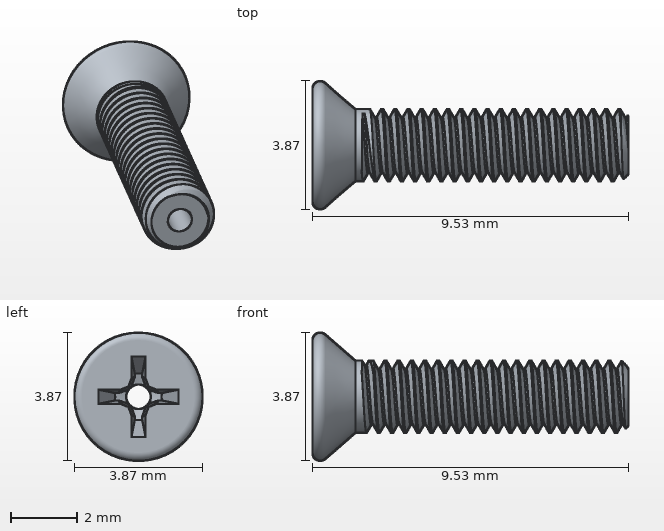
import cadquery as cq
import math

INCH = 25.4

screw_length = 3 / 8 * INCH
vent_radius = 0.366

head_radius = 1.935
rim_radius = 0.235
head_half_angle = math.radians(41)

major_radius = 0.086 * INCH / 2
pitch = INCH / 64
flank_half_angle = math.radians(30)
crest_width = pitch / 8
root_width = pitch / 6
thread_depth = (pitch - crest_width - root_width) / 2 / math.tan(flank_half_angle)
root_radius = major_radius - thread_depth
tip_radius = 0.87
groove_start_x = 1.66
groove_start_angle = 229.5
runout_turns = 1 / 3
groove_section_turns = 7
groove_sections = math.ceil((screw_length - groove_start_x) / pitch / groove_section_turns)
groove_end_x = groove_start_x + groove_sections * groove_section_turns * pitch
blank_length = groove_end_x + pitch
cutter_overlap = 0.02

recess_wall_depth = 1.13
recess_floor_half_angle = math.radians(72)
arm_reach = 1.21
arm_half_width = 0.215
arm_end_taper = math.radians(24.3)
arm_side_draft = math.radians(5.3)
core_corner = 0.305
core_draft = math.radians(2.9)
core_facet_angle = math.radians(21)


def make_blank():
    """Revolved screw body: rounded rim, countersink cone and a shank left overlong for threading."""
    face_radius = head_radius - rim_radius
    cone_start_x = rim_radius * (1 + math.sin(head_half_angle))
    cone_start_radius = face_radius + rim_radius * math.cos(head_half_angle)
    cone_length = (cone_start_radius - major_radius) / math.tan(head_half_angle)
    half_way = math.pi / 4 + head_half_angle / 2
    rim_middle = (
        rim_radius * (1 - math.cos(half_way)),
        face_radius + rim_radius * math.sin(half_way),
    )
    return (
        cq.Workplane("XZ")
        .lineTo(0, face_radius)
        .threePointArc(rim_middle, (cone_start_x, cone_start_radius))
        .lineTo(cone_start_x + cone_length, major_radius)
        .lineTo(blank_length, major_radius)
        .lineTo(blank_length, 0)
        .close()
        .revolve(360, (0, 0, 0), (1, 0, 0))
    )


def make_tip_envelope():
    """Solid of revolution that trims the threaded blank to length with a 45 degree chamfer."""
    envelope_radius = 2 * head_radius
    chamfer_run = envelope_radius - tip_radius
    return (
        cq.Workplane("XZ")
        .lineTo(0, envelope_radius)
        .lineTo(screw_length - chamfer_run, envelope_radius)
        .lineTo(screw_length, tip_radius)
        .lineTo(screw_length, 0)
        .close()
        .revolve(360, (0, 0, 0), (1, 0, 0))
    )


def sweep_groove(path):
    """Sweep the thread groove section up a helix about Z that starts on the +X side."""
    cutter_depth = thread_depth + cutter_overlap
    half_root = root_width / 2
    half_mouth = half_root + cutter_depth * math.tan(flank_half_angle)
    return (
        cq.Workplane("XZ")
        .moveTo(root_radius, -half_root)
        .lineTo(root_radius + cutter_depth, -half_mouth)
        .lineTo(root_radius + cutter_depth, half_mouth)
        .lineTo(root_radius, half_root)
        .close()
        .sweep(cq.Workplane(obj=path), isFrenet=True)
    )


def place_on_shank(groove):
    """Turn a groove from the Z axis onto the screw axis and move it to the thread start."""
    return (
        groove.rotate((0, 0, 0), (0, 1, 0), 90)
        .rotate((0, 0, 0), (1, 0, 0), groove_start_angle)
        .translate((groove_start_x, 0, 0))
    )


def make_thread_groove():
    """Full-depth groove that runs past the tip, swept along a chain of equal helix sections."""
    section_length = groove_section_turns * pitch
    section = cq.Wire.makeHelix(pitch, section_length, root_radius).Edges()[0]
    chain = [
        section.translate(cq.Vector(0, 0, index * section_length))
        for index in range(groove_sections)
    ]
    return place_on_shank(sweep_groove(cq.Wire.assembleEdges(chain)))


def make_thread_runout():
    """Short groove that climbs out of the shank towards the head."""
    climb = thread_depth + cutter_overlap
    cone_angle = math.atan(climb / (runout_turns * pitch))
    slant_pitch = pitch / math.cos(cone_angle)
    path = cq.Wire.makeHelix(
        slant_pitch, runout_turns * slant_pitch, root_radius, angle=math.degrees(cone_angle)
    )
    runout = sweep_groove(path).rotate((0, 0, 0), (1, 0, 0), 180)
    return place_on_shank(runout)


def recess_outline(depth):
    """Corner points (y, z) of the cross at a given depth below the head face."""
    reach = arm_reach - depth * math.tan(arm_end_taper)
    half_width = arm_half_width - depth * math.tan(arm_side_draft)
    corner = core_corner - depth * math.tan(core_draft)
    facet_end = corner + (corner - half_width) / math.tan(core_facet_angle)
    arm = [
        (facet_end, -half_width),
        (reach, -half_width),
        (reach, half_width),
        (facet_end, half_width),
        (corner, corner),
    ]
    points = []
    for quarter in range(4):
        cosine = round(math.cos(quarter * math.pi / 2))
        sine = round(math.sin(quarter * math.pi / 2))
        points += [(y * cosine - z * sine, y * sine + z * cosine) for y, z in arm]
    return points


def make_recess():
    """Tapered cross whose floor is a shallow cone running down to the vent hole."""
    floor_start_radius = arm_reach - recess_wall_depth * math.tan(arm_end_taper)
    floor_depth = (floor_start_radius - vent_radius) / math.tan(recess_floor_half_angle)
    total_depth = recess_wall_depth + floor_depth
    cross = (
        cq.Workplane("YZ")
        .polyline(recess_outline(0))
        .close()
        .workplane(offset=total_depth)
        .polyline(recess_outline(total_depth))
        .close()
        .loft(ruled=True)
    )
    mouth_radius = vent_radius + total_depth * math.tan(recess_floor_half_angle)
    floor_cone = cq.Solid.makeCone(
        mouth_radius, vent_radius, total_depth, dir=cq.Vector(1, 0, 0)
    )
    return cross.intersect(cq.Workplane(obj=floor_cone))


def make_vent():
    """Hole through the whole screw along its axis."""
    return cq.Workplane("YZ").circle(vent_radius).extrude(screw_length)


result = (
    make_blank()
    .cut(make_thread_groove())
    .cut(make_thread_runout())
    .intersect(make_tip_envelope())
    .cut(make_recess())
    .cut(make_vent())
)